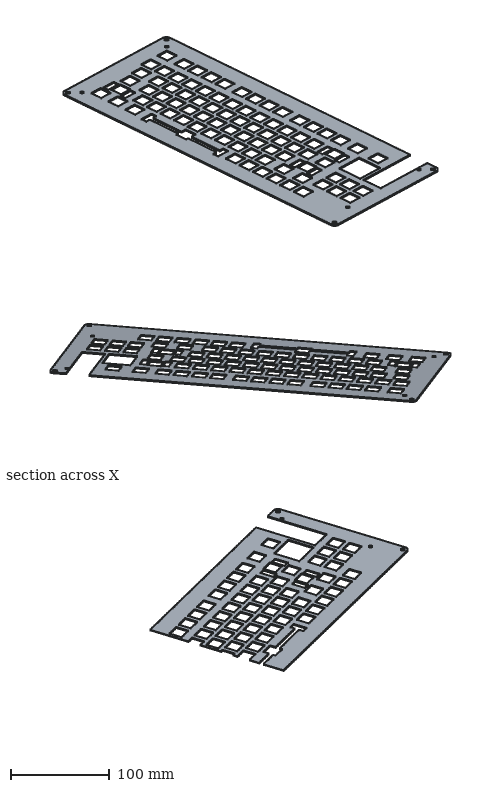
import cadquery as cq

plate_length = 383.0
plate_width = 155.0
plate_thickness = 1.5
corner_radius = 5.0

columns_across = 17.25
rows_down = 5.25
key_field_length = 328.5
pitch = key_field_length / columns_across
key_web = 5.0
key_size = pitch - key_web

stabilizer_width = 7.0
stabilizer_height = 15.0
stabilizer_drop = 1.72
wide_key_spread = 12.0
space_bar_spread = 50.0
space_bar_wire_slot = 5.0

window_size = 29.5
window_column = 15.5
window_y = 23.0
notch_left = 149.8
notch_right = 174.0
notch_bottom = 9.0

corner_hole_diameter = 4.2
corner_hole_inset = 5.0
inner_hole_diameter = 4.0
inner_hole_x = 176.5
inner_hole_y = 62.5
lower_right_hole = (175.5, -41.5)


def run(first, count):
    """Columns of neighbouring keys, one pitch apart."""
    return [first + i for i in range(count)]


function_row = (0, [0] + run(1.25, 4) + run(5.5, 4) + run(9.75, 4) + [14, window_column])
number_row = (1.25, run(0, 13) + [13.5])
upper_letter_row = (2.25, [0.25] + run(1.5, 12) + [13.75])
home_row = (3.25, [0.375] + run(1.75, 11) + [13.375])
lower_letter_row = (4.25, [0.625] + run(2.25, 10) + [12.625, 14])
bottom_row = (rows_down, [0.125, 1.375, 2.625, 6.375] + run(10, 6))
cluster_rows = [(row, run(15.25, 3)) for row in (3, 4)]
key_rows = [
    function_row,
    number_row,
    upper_letter_row,
    home_row,
    lower_letter_row,
    bottom_row,
] + cluster_rows

wide_keys = [(13.5, 1.25), (13.375, 3.25), (0.625, 4.25)]
space_bar = (6.375, rows_down)


def grid_point(column, row):
    """Plate position of a key centre."""
    return ((column - columns_across / 2) * pitch, (rows_down / 2 - row) * pitch)


def block(length, width, points):
    """Full-thickness rectangular cutters centred on the given points."""
    return cq.Workplane("XY").pushPoints(points).rect(length, width).extrude(plate_thickness)


def stabilizer_pair(key, spread):
    """Two upright slots, one on each side of a key."""
    x, y = grid_point(*key)
    points = [(x + side * spread, y - stabilizer_drop) for side in (-1, 1)]
    return block(stabilizer_width, stabilizer_height, points)


def drill(plate, diameter, points):
    return plate.faces(">Z").workplane(origin=(0, 0, 0)).pushPoints(points).hole(diameter)


plate = (
    cq.Workplane("XY")
    .rect(plate_length, plate_width)
    .extrude(plate_thickness)
    .edges("|Z")
    .fillet(corner_radius)
)

key_points = [grid_point(column, row) for row, columns in key_rows for column in columns]
plate = plate.cut(block(key_size, key_size, key_points))

for key in wide_keys:
    plate = plate.cut(stabilizer_pair(key, wide_key_spread))
plate = plate.cut(stabilizer_pair(space_bar, space_bar_spread))
space_x, space_y = grid_point(*space_bar)
wire_slot_center = (space_x, space_y - stabilizer_drop)
plate = plate.cut(block(2 * space_bar_spread, space_bar_wire_slot, [wire_slot_center]))

window_x, _ = grid_point(window_column, 0)
plate = plate.cut(block(window_size, window_size, [(window_x, window_y)]))

notch_depth = plate_width / 2 - notch_bottom
notch_center = ((notch_left + notch_right) / 2, notch_bottom + notch_depth / 2)
plate = plate.cut(block(notch_right - notch_left, notch_depth, [notch_center]))

corner_x = plate_length / 2 - corner_hole_inset
corner_y = plate_width / 2 - corner_hole_inset
corner_holes = [(sx * corner_x, sy * corner_y) for sx in (-1, 1) for sy in (-1, 1)]
inner_holes = [
    (-inner_hole_x, inner_hole_y),
    (-inner_hole_x, -inner_hole_y),
    (inner_hole_x, inner_hole_y),
    lower_right_hole,
]
plate = drill(plate, corner_hole_diameter, corner_holes)
plate = drill(plate, inner_hole_diameter, inner_holes)

result = plate